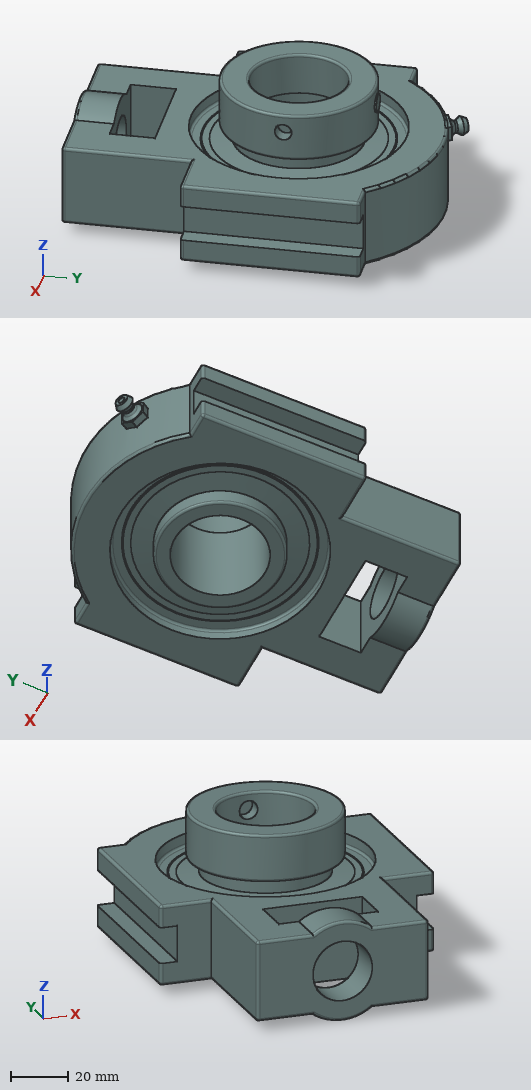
import cadquery as cq
import math


HOUSING_THICKNESS = 29.7
DOME_RADIUS = 52.1
EAR_SPAN = 102.0
EAR_LENGTH = 64.0
TAIL_WIDTH = 64.0
TAIL_END_Y = -78.0
EDGE_RADIUS = 1.0
BOSS_DIAMETER = 37.0
TAIL_HOLE_DIAMETER = 22.0
WINDOW_WIDTH = 36.9
WINDOW_START_Y = -47.5
WINDOW_END_Y = -63.7
GUIDE_SLOT_WIDTH = 13.3
GUIDE_SLOT_DEPTH = 6.5
RECESS_DIAMETER = 77.0
RECESS_FILLET = 0.9
SEAT_SPHERE_DIAMETER = 71.6

OUTER_RING_WIDTH = 20.4
OUTER_RING_CHAMFER = 0.4
SEAL_DIAMETER = 62.5
SEAL_THICKNESS = 2.0
SEAL_RISE = 0.5
INNER_RING_DIAMETER = 46.7
INNER_RING_BOTTOM_Z = -17.2
INNER_RING_FILLET = 0.9
SHAFT_DIAMETER = 34.9
NOSE_DIAMETER = 44.2
NOSE_HEIGHT = 2.3

COLLAR_DIAMETER = 55.6
COLLAR_TOP_Z = 34.0
COLLAR_HEIGHT = 17.5
COLLAR_FILLET = 0.9
BORE_FILLET = 0.9
SCREW_DIAMETER = 6.8
SCREW_DROP = 6.8
SCREW_INNER_END = 22.5
SCREW_OUTER_END = 28.3
SPANNER_HOLE_DIAMETER = 6.0
SPANNER_HOLE_DEPTH = 5.3

NIPPLE_ANGLE = 120.0
NIPPLE_Z = 4.9
NIPPLE_SEAT = 51.5
HEX_ACROSS_FLATS = 9.0
HEX_TOP = 54.9
CONE_BASE_RADIUS = 4.1
CONE_TOP = 56.1
CONE_TOP_RADIUS = 2.8
NECK_RADIUS = 2.3
NECK_START = 57.0
NECK_END = 57.8
HEAD_RADIUS = 3.5
HEAD_WIDEST = 59.7
TIP_RADIUS = 2.5
TIP_END = 61.7
TIP_DIMPLE_DIAMETER = 2.5

collar_bottom_z = COLLAR_TOP_Z - COLLAR_HEIGHT
screw_z = COLLAR_TOP_Z - SCREW_DROP
nose_top_z = collar_bottom_z + NOSE_HEIGHT


def cylinder(diameter, bottom_z, height):
    return cq.Workplane("XY").workplane(offset=bottom_z).circle(diameter / 2).extrude(height)


def revolve_profile(points):
    """Turn a closed (radius, height) profile about Z."""
    return cq.Workplane("XZ").polyline(points).close().revolve(360, (0, 0), (0, 1))


def make_plate():
    ear_x = EAR_SPAN / 2
    ear_y = EAR_LENGTH / 2
    tail_x = TAIL_WIDTH / 2
    dome_x = math.sqrt(DOME_RADIUS**2 - ear_y**2)
    plate = (
        cq.Workplane("XY")
        .workplane(offset=-HOUSING_THICKNESS / 2)
        .moveTo(-dome_x, ear_y)
        .threePointArc((0, DOME_RADIUS), (dome_x, ear_y))
        .lineTo(ear_x, ear_y)
        .lineTo(ear_x, -ear_y)
        .lineTo(tail_x, -ear_y)
        .lineTo(tail_x, TAIL_END_Y)
        .lineTo(-tail_x, TAIL_END_Y)
        .lineTo(-tail_x, -ear_y)
        .lineTo(-ear_x, -ear_y)
        .lineTo(-ear_x, ear_y)
        .close()
        .extrude(HOUSING_THICKNESS)
    )
    plate = plate.edges("|Z and (<X or >X or <Y)").fillet(EDGE_RADIUS)
    return plate.faces("<Z or >Z").edges().fillet(EDGE_RADIUS)


def make_housing(nipple):
    boss = (
        cq.Workplane("XZ", origin=(0, WINDOW_END_Y, 0))
        .circle(BOSS_DIAMETER / 2)
        .extrude(WINDOW_END_Y - TAIL_END_Y)
        .faces("<Y")
        .edges()
        .fillet(EDGE_RADIUS)
    )
    housing = make_plate().union(boss)

    window = cq.Workplane("XY").box(
        WINDOW_WIDTH, WINDOW_START_Y - WINDOW_END_Y, BOSS_DIAMETER
    )
    housing = housing.cut(window.translate((0, (WINDOW_START_Y + WINDOW_END_Y) / 2, 0)))
    tail_hole = (
        cq.Workplane("XZ", origin=(0, WINDOW_END_Y, 0))
        .circle(TAIL_HOLE_DIAMETER / 2)
        .extrude(WINDOW_END_Y - TAIL_END_Y)
    )
    housing = housing.cut(tail_hole)

    for side in (-1, 1):
        slot = cq.Workplane("XY").box(2 * GUIDE_SLOT_DEPTH, 2 * EAR_LENGTH, GUIDE_SLOT_WIDTH)
        housing = housing.cut(slot.translate((side * EAR_SPAN / 2, 0, 0)))

    floor_z = OUTER_RING_WIDTH / 2
    recess = cylinder(RECESS_DIAMETER, floor_z, HOUSING_THICKNESS / 2 - floor_z)
    recess = recess.faces("<Z").edges().fillet(RECESS_FILLET)
    seat = cq.Workplane("XY").sphere(SEAT_SPHERE_DIAMETER / 2)
    housing = housing.cut(recess).cut(recess.mirror("XY")).cut(seat)
    return housing.cut(nipple)


def make_outer_ring():
    """Ring with a spherical outside that lets it swivel in the housing."""
    ball = cq.Workplane("XY").sphere(SEAT_SPHERE_DIAMETER / 2)
    slab = cylinder(SEAT_SPHERE_DIAMETER, -OUTER_RING_WIDTH / 2, OUTER_RING_WIDTH)
    ring = ball.intersect(slab).faces("<Z or >Z").edges().chamfer(OUTER_RING_CHAMFER)
    return ring.cut(cylinder(SEAL_DIAMETER, -OUTER_RING_WIDTH / 2, OUTER_RING_WIDTH))


def make_seal():
    """Upper seal: a shallow cone rising to the inner ring."""
    top = OUTER_RING_WIDTH / 2
    bottom = top - SEAL_THICKNESS
    return revolve_profile([
        (INNER_RING_DIAMETER / 2, bottom),
        (SEAL_DIAMETER / 2, bottom),
        (SEAL_DIAMETER / 2, top),
        (INNER_RING_DIAMETER / 2, top + SEAL_RISE),
    ])


def make_inner_ring():
    body = cylinder(INNER_RING_DIAMETER, INNER_RING_BOTTOM_Z, collar_bottom_z - INNER_RING_BOTTOM_Z)
    body = body.faces("<Z").edges().fillet(INNER_RING_FILLET)
    ring = body.union(cylinder(NOSE_DIAMETER, collar_bottom_z, NOSE_HEIGHT))
    return ring.cut(cylinder(SHAFT_DIAMETER, INNER_RING_BOTTOM_Z, nose_top_z - INNER_RING_BOTTOM_Z))


def make_set_screw():
    return (
        cq.Workplane("XZ", origin=(0, SCREW_OUTER_END, screw_z))
        .circle(SCREW_DIAMETER / 2)
        .extrude(SCREW_OUTER_END - SCREW_INNER_END)
    )


def make_collar():
    collar = cylinder(COLLAR_DIAMETER, collar_bottom_z, COLLAR_HEIGHT).edges().fillet(COLLAR_FILLET)
    collar = collar.cut(cylinder(SHAFT_DIAMETER, collar_bottom_z, COLLAR_HEIGHT))
    bore_edge = collar.faces(">Z").edges(cq.selectors.RadiusNthSelector(0))
    collar = bore_edge.fillet(BORE_FILLET)
    collar = collar.cut(cylinder(NOSE_DIAMETER, collar_bottom_z, NOSE_HEIGHT))
    screw_hole = (
        cq.Workplane("XZ", origin=(0, COLLAR_DIAMETER / 2, screw_z))
        .circle(SCREW_DIAMETER / 2)
        .extrude(COLLAR_DIAMETER / 2)
    )
    spanner_hole = (
        cq.Workplane("YZ", origin=(COLLAR_DIAMETER / 2 - SPANNER_HOLE_DEPTH, 0, screw_z))
        .circle(SPANNER_HOLE_DIAMETER / 2)
        .extrude(2 * SPANNER_HOLE_DEPTH)
    )
    return collar.cut(screw_hole).cut(spanner_hole)


def make_nipple():
    hexagon = (
        cq.Workplane("XY")
        .workplane(offset=NIPPLE_SEAT)
        .polygon(6, HEX_ACROSS_FLATS / math.cos(math.pi / 6))
        .extrude(HEX_TOP - NIPPLE_SEAT)
    )
    head = revolve_profile([
        (0, HEX_TOP),
        (CONE_BASE_RADIUS, HEX_TOP),
        (CONE_TOP_RADIUS, CONE_TOP),
        (NECK_RADIUS, NECK_START),
        (NECK_RADIUS, NECK_END),
        (HEAD_RADIUS, HEAD_WIDEST),
        (TIP_RADIUS, TIP_END),
        (0, TIP_END),
    ])
    dimple = cq.Workplane("XY", origin=(0, 0, TIP_END)).sphere(TIP_DIMPLE_DIAMETER / 2)
    nipple = hexagon.union(head).cut(dimple)
    nipple = nipple.rotate((0, 0, 0), (0, 1, 0), 90)
    return nipple.rotate((0, 0, 0), (0, 0, 1), NIPPLE_ANGLE).translate((0, 0, NIPPLE_Z))


nipple = make_nipple()
housing = make_housing(nipple)
outer_ring = make_outer_ring()
inner_ring = make_inner_ring()
upper_seal = make_seal()
lower_seal = upper_seal.mirror("XY")
collar = make_collar()
set_screw = make_set_screw()

result = cq.Compound.makeCompound([
    housing.val(),
    outer_ring.val(),
    inner_ring.val(),
    upper_seal.val(),
    lower_seal.val(),
    collar.val(),
    set_screw.val(),
    nipple.val(),
])